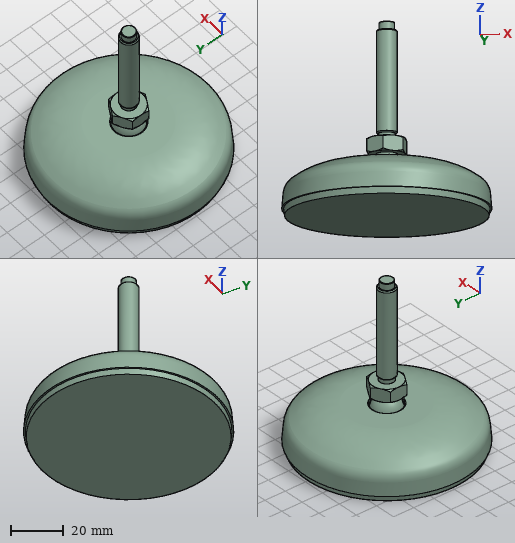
import cadquery as cq
import math

RIM_RADIUS = 39.8
PAD_TOP_RADIUS = 39.1
PAD_BOTTOM_RADIUS = 38.8
PAD_HEIGHT = 2.55
WALL_TOP_Z = 8.45
WALL_DRAFT = 5.0
FOOT_HEIGHT = 18.95
FLAT_RADIUS = 17.85
DOME_ARC_RADIUS = 32.0
DOME_EDGE_RADIUS = 37.05

BALL_RADIUS = 6.8
BALL_CENTRE_Z = 16.3
SOCKET_DIAMETER = 13.7
COUNTERSINK_DIAMETER = 14.5
COUNTERSINK_DEPTH = 0.2
SOCKET_DEPTH = 1.6

SHANK_DIAMETER = 8.05
HEX_SIDES = 6
HEX_BOTTOM_Z = 23.7
HEX_HEIGHT = 6.0
HEX_ACROSS_FLATS = 14.0
HEX_CHAMFER_ANGLE = 30.0
NECK_DIAMETER = 6.5
ROD_DIAMETER = 8.0
ROD_BOTTOM_Z = 31.6
ROD_TOP_Z = 71.7
ROD_CHAMFER = 0.5
TIP_DIAMETER = 6.0
TIP_CHAMFER = 0.2
TOTAL_HEIGHT = 74.7


def cylinder(diameter, bottom_z, top_z):
    return cq.Workplane("XY").workplane(offset=bottom_z).circle(diameter / 2).extrude(top_z - bottom_z)


def make_foot():
    wall_height = WALL_TOP_Z - PAD_HEIGHT
    wall_top_radius = RIM_RADIUS - wall_height * math.tan(math.radians(WALL_DRAFT))
    dome_angle = math.asin((DOME_EDGE_RADIUS - FLAT_RADIUS) / DOME_ARC_RADIUS)

    def dome_point(angle):
        r = FLAT_RADIUS + DOME_ARC_RADIUS * math.sin(angle)
        z = FOOT_HEIGHT - DOME_ARC_RADIUS * (1 - math.cos(angle))
        return (r, z)

    profile = (
        cq.Workplane("XZ")
        .moveTo(0, FOOT_HEIGHT)
        .lineTo(FLAT_RADIUS, FOOT_HEIGHT)
        .threePointArc(dome_point(dome_angle / 2), dome_point(dome_angle))
        .tangentArcPoint((wall_top_radius, WALL_TOP_Z), relative=False)
        .lineTo(RIM_RADIUS, PAD_HEIGHT)
        .lineTo(PAD_TOP_RADIUS, PAD_HEIGHT)
        .lineTo(PAD_BOTTOM_RADIUS, 0)
        .lineTo(0, 0)
        .close()
    )
    foot = profile.revolve(360, (0, 0), (0, 1))
    socket = cylinder(SOCKET_DIAMETER, FOOT_HEIGHT - SOCKET_DEPTH, FOOT_HEIGHT)
    countersink = (
        cq.Workplane("XY")
        .workplane(offset=FOOT_HEIGHT)
        .circle(COUNTERSINK_DIAMETER / 2)
        .workplane(offset=-COUNTERSINK_DEPTH)
        .circle(SOCKET_DIAMETER / 2)
        .loft()
    )
    return foot.cut(socket).cut(countersink)


def make_hexagon():
    half_side_angle = math.pi / HEX_SIDES
    corner_diameter = HEX_ACROSS_FLATS / math.cos(half_side_angle)
    prism = (
        cq.Workplane("XY")
        .workplane(offset=HEX_BOTTOM_Z)
        .polygon(HEX_SIDES, corner_diameter)
        .extrude(HEX_HEIGHT)
        .rotate((0, 0, 0), (0, 0, 1), math.degrees(half_side_angle))
    )
    corner_reach = (corner_diameter - HEX_ACROSS_FLATS) / 2
    corner_drop = corner_reach * math.tan(math.radians(HEX_CHAMFER_ANGLE))
    trimmer = (
        cylinder(corner_diameter, HEX_BOTTOM_Z, HEX_BOTTOM_Z + HEX_HEIGHT)
        .faces("<Z or >Z")
        .chamfer(corner_drop, corner_reach)
    )
    return prism.intersect(trimmer)


def make_stud():
    ball = cq.Workplane("XY").sphere(BALL_RADIUS).translate((0, 0, BALL_CENTRE_Z))
    shank = cylinder(SHANK_DIAMETER, BALL_CENTRE_Z, HEX_BOTTOM_Z)
    neck = cylinder(NECK_DIAMETER, HEX_BOTTOM_Z, ROD_BOTTOM_Z)
    rod = cylinder(ROD_DIAMETER, ROD_BOTTOM_Z, ROD_TOP_Z).faces("<Z or >Z").chamfer(ROD_CHAMFER)
    tip = cylinder(TIP_DIAMETER, ROD_TOP_Z, TOTAL_HEIGHT).faces(">Z").chamfer(TIP_CHAMFER)
    return ball.union(shank).union(make_hexagon()).union(neck).union(rod).union(tip)


result = make_foot().union(make_stud())